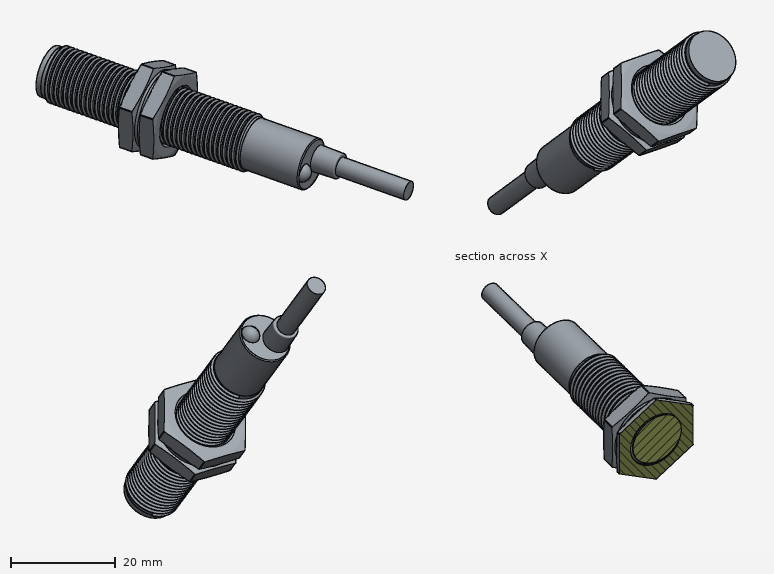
import cadquery as cq


BARREL_RADIUS = 5.2
BARREL_LENGTH = 57.65
REAR_CHAMFER = 0.2

THREAD_RADIUS = 5.75
THREAD_ROOT_RADIUS = 5.3
THREAD_START = 1.1
THREAD_END = 44.9
THREAD_TURNS = 43
CREST_WIDTH = 0.15
RIDGE_BASE_WIDTH = 0.8
RIDGE_SINK = 0.1
RIDGE_MARGIN = 0.02
RIDGE_START = THREAD_START + RIDGE_MARGIN + RIDGE_BASE_WIDTH / 2
RIDGE_END = THREAD_END - RIDGE_MARGIN - RIDGE_BASE_WIDTH / 2
THREAD_PITCH = (RIDGE_END - RIDGE_START) / THREAD_TURNS

TOTAL_LENGTH = 77.7
CABLE_DIAMETER = 3.8
CABLE_OFFSET = 2.2
RELIEF_BASE_RADIUS = 2.7
RELIEF_TIP_RADIUS = 2.6
RELIEF_END = 62.7
RELIEF_FILLET = 0.2
LAMP_BASE_RADIUS = 1.9
LAMP_OFFSET = -3.0
LAMP_PROTRUSION = 1.4

NUT_ACROSS_FLATS = 16.8
NUT_CORNER_RADIUS = 9.6
NUT_FACE_RADIUS = 8.1
NUT_THICKNESS = 3.35
NUT_CHAMFER_DEPTH = 0.3
NUT_BORE_CHAMFER = 0.5
COLLAR_RADIUS = 7.9
COLLAR_THICKNESS = 0.6
NUT_CONTACT_X = 23.85


def x_cylinder(radius, start, end, y=0.0):
    """Solid cylinder parallel to X between two X positions."""
    return cq.Workplane("YZ", origin=(start, y, 0)).circle(radius).extrude(end - start)


def revolve_about_x(points, y=0.0):
    """Solid of revolution about a line parallel to X, from (x, radius) points."""
    profile = cq.Workplane("XY", origin=(0, y, 0)).polyline(points).close()
    return profile.revolve(360, (0, 0, 0), (1, 0, 0))


def make_thread_ridge():
    """Helical ridge of trapezoidal section, closed turn by turn with ruled faces."""
    section = [
        (THREAD_ROOT_RADIUS - RIDGE_SINK, -RIDGE_BASE_WIDTH / 2),
        (THREAD_RADIUS, -CREST_WIDTH / 2),
        (THREAD_RADIUS, CREST_WIDTH / 2),
        (THREAD_ROOT_RADIUS - RIDGE_SINK, RIDGE_BASE_WIDTH / 2),
    ]
    faces = []
    for turn in range(THREAD_TURNS):
        helices = []
        for radius, offset in section:
            start = cq.Vector(0, 0, turn * THREAD_PITCH + offset)
            helices.append(cq.Wire.makeHelix(THREAD_PITCH, THREAD_PITCH, radius).translate(start))
        for side, helix in enumerate(helices):
            faces.append(cq.Face.makeRuledSurface(helix, helices[(side + 1) % len(helices)]))
    for cap_height in (0, THREAD_TURNS * THREAD_PITCH):
        corners = [cq.Vector(radius, 0, cap_height + offset) for radius, offset in section]
        faces.append(cq.Face.makeFromWires(cq.Wire.makePolygon(corners, close=True)))
    ridge = cq.Workplane(obj=cq.Solid.makeSolid(cq.Shell.makeShell(faces)))
    return ridge.rotate((0, 0, 0), (0, 1, 0), 90).translate((RIDGE_START, 0, 0))


def make_strain_relief():
    """Tapered sleeve around the cable, rounded at its tip."""
    sleeve = revolve_about_x([
        (BARREL_LENGTH, 0),
        (BARREL_LENGTH, RELIEF_BASE_RADIUS),
        (RELIEF_END, RELIEF_TIP_RADIUS),
        (RELIEF_END, 0),
    ], CABLE_OFFSET)
    return sleeve.faces(">X").edges().fillet(RELIEF_FILLET)


def make_lamp():
    """Domed indicator lamp, a spherical cap standing on the rear face."""
    apex_x = BARREL_LENGTH + LAMP_PROTRUSION
    sphere_radius = (LAMP_BASE_RADIUS**2 + LAMP_PROTRUSION**2) / (2 * LAMP_PROTRUSION)
    dome_profile = (
        cq.Workplane("XY", origin=(0, LAMP_OFFSET, 0))
        .moveTo(BARREL_LENGTH, 0)
        .lineTo(BARREL_LENGTH, LAMP_BASE_RADIUS)
        .radiusArc((apex_x, 0), sphere_radius)
        .close()
    )
    return dome_profile.revolve(360, (0, 0, 0), (1, 0, 0))


def make_sensor():
    """Barrel with its thread, lamp, strain relief and cable as one solid."""
    barrel = x_cylinder(BARREL_RADIUS, 0, BARREL_LENGTH).faces(">X").chamfer(REAR_CHAMFER)
    thread_root = x_cylinder(THREAD_ROOT_RADIUS, THREAD_START, THREAD_END)
    cable = x_cylinder(CABLE_DIAMETER / 2, BARREL_LENGTH, TOTAL_LENGTH, CABLE_OFFSET)
    plain_sensor = barrel.union(thread_root).union(make_strain_relief()).union(cable).union(make_lamp())
    return plain_sensor.union(make_thread_ridge(), clean=False)


def make_nut():
    """Lock nut with its collar face on X = 0 and its hexagon on the -X side."""
    hex_start = -COLLAR_THICKNESS - NUT_THICKNESS
    hex_end = -COLLAR_THICKNESS
    hexagon = (
        cq.Workplane("YZ", origin=(hex_start, 0, 0))
        .polygon(6, NUT_ACROSS_FLATS, circumscribed=True)
        .extrude(NUT_THICKNESS)
    )
    rounded_blank = revolve_about_x([
        (hex_start, 0),
        (hex_start, NUT_FACE_RADIUS),
        (hex_start + NUT_CHAMFER_DEPTH, NUT_CORNER_RADIUS),
        (hex_end - NUT_CHAMFER_DEPTH, NUT_CORNER_RADIUS),
        (hex_end, NUT_FACE_RADIUS),
        (hex_end, 0),
    ])
    collar = x_cylinder(COLLAR_RADIUS, hex_end, 0)
    mouth_radius = THREAD_RADIUS + NUT_BORE_CHAMFER
    bore = revolve_about_x([
        (hex_start, 0),
        (hex_start, mouth_radius),
        (hex_start + NUT_BORE_CHAMFER, THREAD_RADIUS),
        (0, THREAD_RADIUS),
        (0, 0),
    ])
    return hexagon.intersect(rounded_blank).union(collar).cut(bore)


sensor = make_sensor()

nuts = []
for turn in (0, 180):
    turned_nut = make_nut().rotate((0, 0, 0), (0, 0, 1), turn)
    nuts.append(turned_nut.translate((NUT_CONTACT_X, 0, 0)))

result = cq.Compound.makeCompound([sensor.val(), *[nut.val() for nut in nuts]])